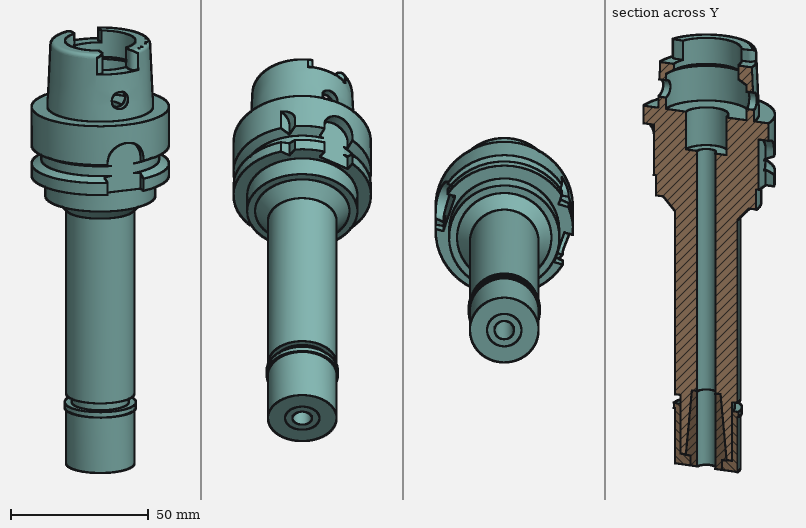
import cadquery as cq
import math

total_length = 160.0
socket_length = 25.0
collar_height = 26.0
base_height = 7.7
base_cone_height = 5.0
collar_top = total_length - socket_length
collar_bottom = collar_top - collar_height
base_bottom = collar_bottom - base_height
shaft_top = base_bottom - base_cone_height
shaft_bottom = 26.4
nut_top = 23.2

collar_radius = 25.0
groove_radius = 21.5
groove_middle_depth = 18.0
groove_middle = collar_top - groove_middle_depth
groove_floor_height = 3.7
groove_flank_height = 1.6
groove_floor_top = groove_middle + groove_floor_height / 2
groove_floor_bottom = groove_middle - groove_floor_height / 2
groove_mouth_top = groove_floor_top + groove_flank_height
groove_mouth_bottom = groove_floor_bottom - groove_flank_height

base_radius = 20.0
cone_top_radius = 17.1
shaft_radius = 12.5
nose_radius = 10.4

socket_base_radius = 19.2
socket_tip_radius = 18.0
tip_fillet = 1.6
mouth_radius = 12.8
mouth_depth = 10.0
undercut_radius = 16.0
undercut_angle = 30.0
undercut_top = total_length - mouth_depth
undercut_bottom = undercut_top - (undercut_radius - mouth_radius) * math.tan(math.radians(undercut_angle))
socket_floor = collar_top
cross_hole_radius = 3.2
cross_hole_height = 142.5

slot_width = 10.5
slot_edge_radius = 2.0
slot_depth_left = 4.5
slot_depth_right = 7.4

keyway_floor = 21.0
keyway_top = 128.2
keyway_width_left = 12.0
keyway_width_right = 14.0
notch_inner_y = 15.7
notch_floor = notch_inner_y
notch_radius = 4.8
notch_top = 128.6

coolant_bore_radius = 8.0
coolant_bore_depth = 14.4
through_radius = 3.5

nut_radius = shaft_radius
nut_rim_radius = 13.0
nut_rim_height = 2.0
nut_lip_thickness = 4.0

collet_face_radius = 6.2
collet_large_radius = 8.0
collet_small_radius = 5.6
collet_top = 28.8


def cylinder(radius, bottom, top):
    """Upright cylinder on the Z axis."""
    return cq.Workplane("XY").workplane(offset=bottom).circle(radius).extrude(top - bottom)


def revolve_profile(points):
    """Solid of revolution from (radius, z) points, closed along the Z axis."""
    return cq.Workplane("XZ").polyline(points).close().revolve(360, (0, 0, 0), (0, 1, 0))


def make_drive_slot(side, depth):
    """Drive slot on the -X (-1) or +X (1) side, its mouth flaring into the taper with rounded edges."""
    half_width = slot_width / 2
    round_y = half_width + slot_edge_radius
    round_x = math.sqrt((socket_tip_radius - slot_edge_radius) ** 2 - round_y ** 2)
    rim_angle = math.atan2(round_y, round_x)
    middle_angle = (rim_angle - math.pi / 2) / 2
    rim_x = socket_tip_radius * math.cos(rim_angle)
    rim_y = socket_tip_radius * math.sin(rim_angle)
    middle_x = round_x + slot_edge_radius * math.cos(middle_angle)
    middle_y = round_y + slot_edge_radius * math.sin(middle_angle)
    outer_x = collar_radius
    return (
        cq.Workplane("XY")
        .workplane(offset=total_length - depth)
        .moveTo(0, -half_width)
        .lineTo(side * round_x, -half_width)
        .threePointArc((side * middle_x, -middle_y), (side * rim_x, -rim_y))
        .lineTo(side * outer_x, -rim_y)
        .lineTo(side * outer_x, rim_y)
        .lineTo(side * rim_x, rim_y)
        .threePointArc((side * middle_x, middle_y), (side * round_x, half_width))
        .lineTo(0, half_width)
        .close()
        .extrude(depth)
    )


def make_socket():
    """Hollow taper with a rounded tip, two drive slots and a cross hole."""
    taper = revolve_profile([
        (0, collar_top),
        (socket_base_radius, collar_top),
        (socket_tip_radius, total_length),
        (0, total_length),
    ]).faces(">Z").edges().fillet(tip_fillet)
    bore = revolve_profile([
        (0, socket_floor),
        (undercut_radius, socket_floor),
        (undercut_radius, undercut_bottom),
        (mouth_radius, undercut_top),
        (mouth_radius, total_length),
        (0, total_length),
    ])
    cross_hole = (
        cq.Workplane("YZ")
        .center(0, cross_hole_height)
        .circle(cross_hole_radius)
        .extrude(socket_base_radius, both=True)
    )
    socket = taper.cut(bore)
    for side, depth in ((-1, slot_depth_left), (1, slot_depth_right)):
        socket = socket.cut(make_drive_slot(side, depth))
    return socket.cut(cross_hole)


def make_keyway(side, width):
    """Round-topped keyway, open downward, cut into the collar from the -X (-1) or +X (1) side."""
    radius = width / 2
    arc_height = keyway_top - radius
    return (
        cq.Workplane("YZ")
        .workplane(offset=side * keyway_floor)
        .moveTo(-radius, collar_bottom)
        .lineTo(-radius, arc_height)
        .threePointArc((0, keyway_top), (radius, arc_height))
        .lineTo(radius, collar_bottom)
        .close()
        .extrude(side * collar_radius)
    )


def make_notch():
    """Orientation notch at the -X +Y corner of the collar, with one rounded upper corner."""
    outer_y = collar_radius
    return (
        cq.Workplane("YZ")
        .workplane(offset=-notch_floor)
        .moveTo(notch_inner_y, collar_bottom)
        .lineTo(notch_inner_y, notch_top - notch_radius)
        .radiusArc((notch_inner_y + notch_radius, notch_top), notch_radius)
        .lineTo(outer_y, notch_top)
        .lineTo(outer_y, collar_bottom)
        .close()
        .extrude(-collar_radius)
    )


def make_collar():
    """Grooved collar with its two keyways and orientation notch."""
    collar = revolve_profile([
        (0, collar_bottom),
        (collar_radius, collar_bottom),
        (collar_radius, groove_mouth_bottom),
        (groove_radius, groove_floor_bottom),
        (groove_radius, groove_floor_top),
        (collar_radius, groove_mouth_top),
        (collar_radius, collar_top),
        (0, collar_top),
    ])
    for side, width in ((-1, keyway_width_left), (1, keyway_width_right)):
        collar = collar.cut(make_keyway(side, width))
    return collar.cut(make_notch())


def make_stem():
    """Base, cone, long shaft and the narrower nose that the nut goes on."""
    return revolve_profile([
        (0, nut_lip_thickness),
        (nose_radius, nut_lip_thickness),
        (nose_radius, shaft_bottom),
        (shaft_radius, shaft_bottom),
        (shaft_radius, shaft_top),
        (cone_top_radius, base_bottom),
        (base_radius, base_bottom),
        (base_radius, collar_bottom),
        (0, collar_bottom),
    ])


def make_collet_blank():
    """Solid shape of the collet: a short face cylinder and a taper above it."""
    return revolve_profile([
        (0, 0),
        (collet_face_radius, 0),
        (collet_face_radius, nut_lip_thickness),
        (collet_large_radius, nut_lip_thickness),
        (collet_small_radius, collet_top),
        (0, collet_top),
    ])


def make_holder():
    """Tool holder: socket, collar and stem, hollow along the axis."""
    coolant_bore = cylinder(coolant_bore_radius, socket_floor - coolant_bore_depth, socket_floor)
    through_hole = cylinder(through_radius, 0, socket_floor)
    holder = make_stem().union(make_collar()).union(make_socket())
    return holder.cut(coolant_bore).cut(through_hole).cut(make_collet_blank())


def make_nut():
    """Clamping nut: a cup over the nose with a rim at its upper end and a lip under the collet."""
    sleeve = cylinder(nut_radius, 0, nut_top)
    rim = cylinder(nut_rim_radius, nut_top - nut_rim_height, nut_top)
    nose_recess = cylinder(nose_radius, nut_lip_thickness, nut_top)
    face_opening = cylinder(collet_face_radius, 0, nut_lip_thickness)
    return sleeve.union(rim).cut(nose_recess).cut(face_opening)


def make_collet():
    """Collet in the nose, bored through in line with the holder."""
    return make_collet_blank().cut(cylinder(through_radius, 0, collet_top))


holder = make_holder()
nut = make_nut()
collet = make_collet()

result = cq.Compound.makeCompound([holder.val(), nut.val(), collet.val()])